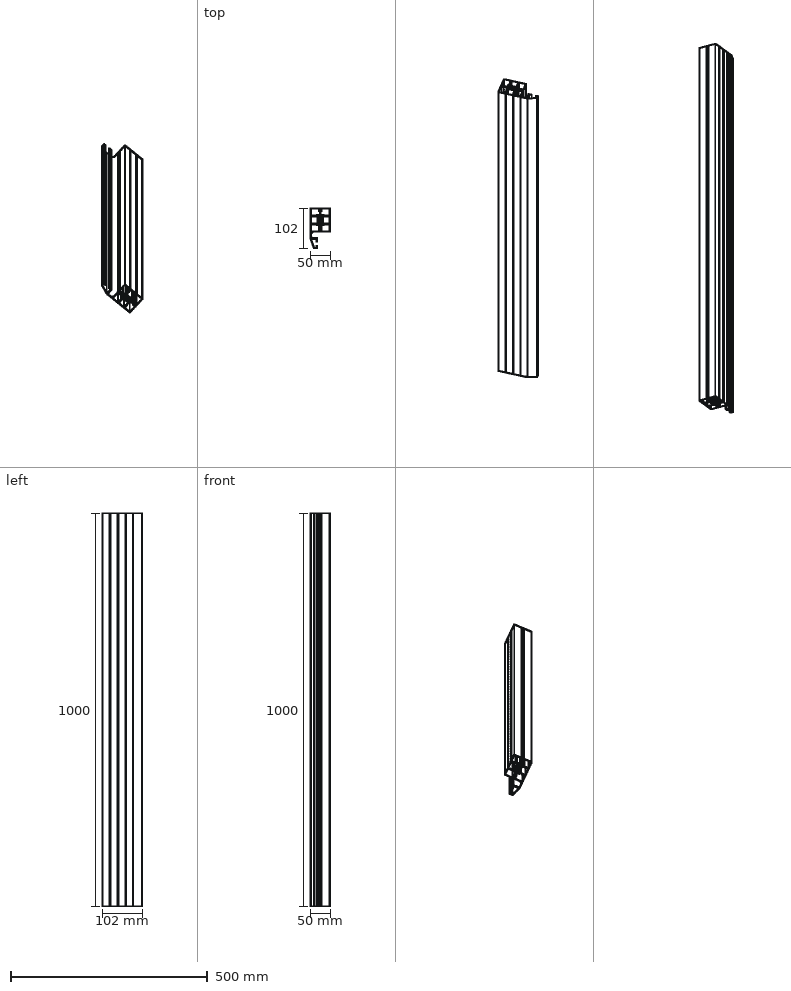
import cadquery as cq
import math

LENGTH = 1000.0
WIDTH = 50.0
BOX_DEPTH = 60.0
TOTAL_DEPTH = 102.0
WALL = 1.6
CHANNEL_DEPTH = 20.0
CORNER_RADIUS = 1.0
SEAM_CHAMFER = 1.0
LIP_OPENING = 26.0

RIB_WIDTH = 3.0
BAR_WIDTH = 17.0
BAR_THICKNESS = 3.0
JAW_THICKNESS = 2.5
BACK_JAW_DEPTH = 6.2
FRONT_JAW_DEPTH = 11.0
SPACER_GAP = 11.0

APRON_BEND = 78.0
APRON_ANGLE = 20.0
POCKET_EDGE = -7.5
WEB_OFFSET = 0.8
WEB_THICKNESS = 3.0
POCKET_LIP = 2.0
UPPER_LIP_END = 85.0
LOWER_LIP_START = 96.0
BOX_FILLET = 9.0
WEB_FILLET = 5.0

GROOVE_WIDTH = 2.0
GROOVE_DEPTH = 0.8

BACK = TOTAL_DEPTH / 2
BOX_FRONT = BACK - BOX_DEPTH
APRON_FRONT = BACK - TOTAL_DEPTH
BACK_SEAM = BACK - CHANNEL_DEPTH
FRONT_SEAM = BOX_FRONT + CHANNEL_DEPTH
LEFT = -WIDTH / 2
RIGHT = WIDTH / 2


def extrude(sketch):
    return sketch.extrude(LENGTH / 2, both=True)


def block(x_min, x_max, y_min, y_max):
    """Full-length bar with a rectangular section."""
    center = ((x_min + x_max) / 2, (y_min + y_max) / 2)
    return extrude(cq.Workplane().center(*center).rect(x_max - x_min, y_max - y_min))


def prism(points):
    """Full-length bar with a polygonal section."""
    return extrude(cq.Workplane().polyline(points).close())


def channel(outer_y, inward, jaw_depth):
    """Lipped channel whose plate lies at outer_y and which opens towards inward (+1 or -1) in Y."""

    def y_at(depth):
        return outer_y + inward * depth

    def span(x_min, x_max, depth_a, depth_b):
        return block(x_min, x_max, *sorted((y_at(depth_a), y_at(depth_b))))

    inside = span(LEFT + WALL, RIGHT - WALL, WALL, CHANNEL_DEPTH - WALL)
    opening = span(-LIP_OPENING / 2, LIP_OPENING / 2, CHANNEL_DEPTH - WALL, CHANNEL_DEPTH)
    body = span(LEFT, RIGHT, 0, CHANNEL_DEPTH).cut(inside).cut(opening)
    for side in (-1, 1):
        edge = side * WIDTH / 2
        body = body.cut(prism([
            (edge, y_at(CHANNEL_DEPTH - SEAM_CHAMFER)),
            (edge, y_at(CHANNEL_DEPTH)),
            (edge - side * SEAM_CHAMFER, y_at(CHANNEL_DEPTH)),
        ]))
        jaw_x = sorted((side * RIB_WIDTH / 2, side * (RIB_WIDTH / 2 + JAW_THICKNESS)))
        body = body.union(span(*jaw_x, WALL, WALL + jaw_depth))
    return body


def make_back_channel():
    body = channel(BACK, -1, BACK_JAW_DEPTH)
    return body.edges("|Z and >Y").fillet(CORNER_RADIUS)


def apron():
    """Wall below the box that turns inwards and ends in a pocket for a seal."""
    slope = math.tan(math.radians(APRON_ANGLE))
    wall_along_x = WALL / math.cos(math.radians(APRON_ANGLE))
    bend_y = BACK - APRON_BEND
    web_front = bend_y - WEB_OFFSET
    web_back = web_front + WEB_THICKNESS
    floor_y = APRON_FRONT + WALL
    lip_inside = POCKET_EDGE - POCKET_LIP
    wall_inside = LEFT + WALL

    def outer_x(y):
        return LEFT + (bend_y - y) * slope

    def inner_x(y):
        return outer_x(y) + wall_along_x

    return extrude(
        cq.Workplane()
        .moveTo(LEFT, BOX_FRONT)
        .lineTo(LEFT, bend_y)
        .lineTo(outer_x(APRON_FRONT), APRON_FRONT)
        .lineTo(POCKET_EDGE, APRON_FRONT)
        .lineTo(POCKET_EDGE, BACK - LOWER_LIP_START)
        .lineTo(lip_inside, BACK - LOWER_LIP_START)
        .lineTo(lip_inside, floor_y)
        .lineTo(inner_x(floor_y), floor_y)
        .lineTo(inner_x(web_front), web_front)
        .lineTo(lip_inside, web_front)
        .lineTo(lip_inside, BACK - UPPER_LIP_END)
        .lineTo(POCKET_EDGE, BACK - UPPER_LIP_END)
        .lineTo(POCKET_EDGE, web_back)
        .lineTo(wall_inside + WEB_FILLET, web_back)
        .radiusArc((wall_inside, web_back + WEB_FILLET), WEB_FILLET)
        .lineTo(wall_inside, BOX_FRONT - BOX_FILLET)
        .radiusArc((wall_inside + BOX_FILLET, BOX_FRONT), BOX_FILLET)
        .close()
    )


def make_front_channel():
    """Channel with the apron and two V-shaped guide grooves."""
    half = GROOVE_WIDTH / 2
    side_groove = prism([
        (LEFT, BOX_FRONT - half),
        (LEFT + GROOVE_DEPTH, BOX_FRONT),
        (LEFT, BOX_FRONT + half),
    ])
    front_groove = prism([
        (-half, BOX_FRONT),
        (0, BOX_FRONT + GROOVE_DEPTH),
        (half, BOX_FRONT),
    ])
    body = channel(BOX_FRONT, 1, FRONT_JAW_DEPTH).union(apron())
    return body.cut(side_groove).cut(front_groove)


def make_spacer(side):
    """Rectangular tube between the channels, on the -X (side -1) or +X (side +1) side of the key."""
    x_min, x_max = sorted((side * SPACER_GAP / 2, side * WIDTH / 2))
    tube = block(x_min, x_max, FRONT_SEAM, BACK_SEAM)
    return tube.cut(block(x_min + WALL, x_max - WALL, FRONT_SEAM + WALL, BACK_SEAM - WALL))


def make_key():
    """Rib held by the jaws of both channels, with a bar across each end of the spacers."""
    key = block(-RIB_WIDTH / 2, RIB_WIDTH / 2, BOX_FRONT + WALL, BACK - WALL)
    for bar_y in (BACK_SEAM, FRONT_SEAM - BAR_THICKNESS):
        key = key.union(block(-BAR_WIDTH / 2, BAR_WIDTH / 2, bar_y, bar_y + BAR_THICKNESS))
    return key


back_channel = make_back_channel()
front_channel = make_front_channel()
spacers = [make_spacer(side) for side in (-1, 1)]
key = make_key()

result = cq.Compound.makeCompound([
    back_channel.val(),
    front_channel.val(),
    *[spacer.val() for spacer in spacers],
    key.val(),
])